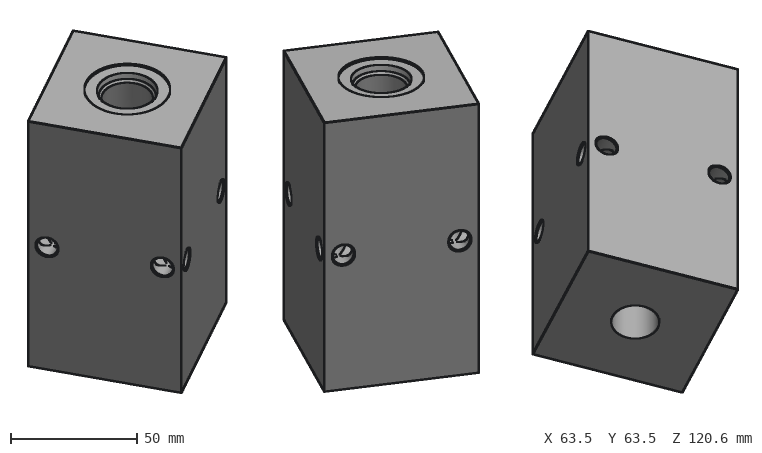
import cadquery as cq

height = 120.6
width = 63.5
edge_chamfer = 0.22

spotface_diameter = 34.0
spotface_depth = 0.8
seat_mouth_diameter = 24.0
seat_root_diameter = 22.6
seat_depth = 2.4
lead_in_depth = 1.1
port_bore_diameter = 20.4
port_bore_depth = 24.1
through_bore_diameter = 19.1

hole_diameter = 8.6
hole_spacing = 47.7
hole_chamfer = 0.5


def make_block():
    block = cq.Workplane("XY").box(width, width, height)
    return block.edges().chamfer(edge_chamfer)


def make_port():
    """Revolved cutter: spotface, conical seat, lead-in cone, port bore and through bore."""
    top = height / 2
    spotface_floor = top - spotface_depth
    seat_floor = spotface_floor - seat_depth
    bore_start = seat_floor - lead_in_depth
    bore_floor = top - port_bore_depth
    profile = [
        (0, top),
        (spotface_diameter / 2, top),
        (spotface_diameter / 2, spotface_floor),
        (seat_mouth_diameter / 2, spotface_floor),
        (seat_root_diameter / 2, seat_floor),
        (port_bore_diameter / 2, bore_start),
        (port_bore_diameter / 2, bore_floor),
        (through_bore_diameter / 2, bore_floor),
        (through_bore_diameter / 2, -top),
        (0, -top),
    ]
    return cq.Workplane("XZ").polyline(profile).close().revolve(360, (0, 0, 0), (0, 1, 0))


def make_mounting_hole():
    """Cutter along Y through the block, widened by a 45 degree chamfer at both mouths."""
    radius = hole_diameter / 2
    mouth = width / 2
    throat = mouth - hole_chamfer
    profile = [
        (0, -mouth),
        (radius + hole_chamfer, -mouth),
        (radius, -throat),
        (radius, throat),
        (radius + hole_chamfer, mouth),
        (0, mouth),
    ]
    return cq.Workplane("XY").polyline(profile).close().revolve(360, (0, 0, 0), (0, 1, 0))


result = make_block().cut(make_port())

for side in (-1, 1):
    hole_along_y = make_mounting_hole().translate((side * hole_spacing / 2, 0, 0))
    hole_along_x = hole_along_y.rotate((0, 0, 0), (0, 0, 1), 90)
    result = result.cut(hole_along_y).cut(hole_along_x)